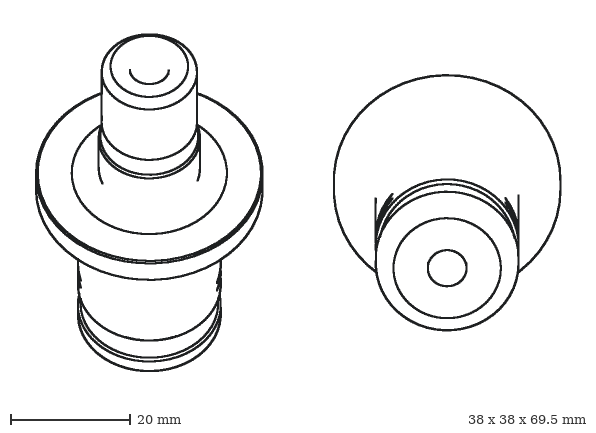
import cadquery as cq
import math

TOTAL_HEIGHT = 69.5

SHANK_RADIUS = 23.96 / 2
TIP_RADIUS = 18 / 2
TIP_ANGLE = math.radians(30)
TIP_CORNER_ROUND = 0.75
COLLAR_TOP = 5.0
COLLAR_CHAMFER = 0.45
NECK_RADIUS = 19.5 / 2
NECK_TOP = 9.6
NECK_ROUND = 0.4
SHANK_LEAD_HEIGHT = 0.6
SHANK_LEAD_ANGLE = math.radians(45)
SHANK_FLANGE_ROUND = 0.9

GROOVE_CENTRES = (13.0, 15.0)
GROOVE_WIDTH = 1.2
GROOVE_FLOOR_WIDTH = 0.2
GROOVE_DEPTH = 0.12

FLANGE_RADIUS = 38 / 2
FLANGE_BOTTOM = 34.5
FLANGE_THICKNESS = 6.0
FLANGE_TOP = FLANGE_BOTTOM + FLANGE_THICKNESS
FLANGE_TOP_CHAMFER = 0.3
FLANGE_FACE_RADIUS = 16.0
FLANGE_CONE_ANGLE = math.radians(15)
FLANGE_CORNER_ROUND = 1.0

RECESS_RIM_RADIUS = 26 / 2
RECESS_FLOOR_RADIUS = 24.3 / 2
RECESS_DEPTH = 0.3
RECESS_FLOOR = FLANGE_TOP - RECESS_DEPTH
RECESS_ROUND = 0.4

SEAT_RADIUS = 17 / 2
SEAT_TOP = 50.5
SEAT_LEAD_HEIGHT = 0.6
SEAT_LEAD_WIDTH = 0.3
UNDERCUT_RADIUS = 16.9 / 2
UNDERCUT_TOP = 41.8
UNDERCUT_ANGLE = math.radians(15)
UNDERCUT_ROUND = 0.4

END_RADIUS = 16 / 2
END_BOTTOM = 54.3
END_CHAMFER = 1.5
RELIEF_RADIUS = 13.7 / 2
RELIEF_MOUTH_RADIUS = 15 / 2
RELIEF_ROUND = 0.8

BORE_RADIUS = 6.5 / 2
BORE_MOUTH_ROUND = 1.0


def groove_corners(centre):
    """Corners of one ring groove, from its lower edge to its upper edge."""
    floor_radius = SHANK_RADIUS - GROOVE_DEPTH
    return [
        (SHANK_RADIUS, centre - GROOVE_WIDTH / 2, 0),
        (floor_radius, centre - GROOVE_FLOOR_WIDTH / 2, 0),
        (floor_radius, centre + GROOVE_FLOOR_WIDTH / 2, 0),
        (SHANK_RADIUS, centre + GROOVE_WIDTH / 2, 0),
    ]


def shank_corners():
    """Tip, collar, neck and grooved shank, up to the flange underside."""
    tip_height = (SHANK_RADIUS - TIP_RADIUS) * math.tan(TIP_ANGLE)
    lead_width = SHANK_LEAD_HEIGHT * math.tan(SHANK_LEAD_ANGLE)
    corners = [
        (TIP_RADIUS, 0, 0),
        (SHANK_RADIUS, tip_height, TIP_CORNER_ROUND),
        (SHANK_RADIUS, COLLAR_TOP - COLLAR_CHAMFER, 0),
        (SHANK_RADIUS - COLLAR_CHAMFER, COLLAR_TOP, 0),
        (NECK_RADIUS, COLLAR_TOP, NECK_ROUND),
        (NECK_RADIUS, NECK_TOP, NECK_ROUND),
        (SHANK_RADIUS - lead_width, NECK_TOP, 0),
        (SHANK_RADIUS, NECK_TOP + SHANK_LEAD_HEIGHT, 0),
    ]
    for centre in GROOVE_CENTRES:
        corners += groove_corners(centre)
    corners.append((SHANK_RADIUS, FLANGE_BOTTOM, SHANK_FLANGE_ROUND))
    return corners


def flange_corners():
    """Flange with a coned underside and a dished recess in its top."""
    cone_height = (FLANGE_RADIUS - FLANGE_FACE_RADIUS) * math.tan(FLANGE_CONE_ANGLE)
    return [
        (FLANGE_FACE_RADIUS, FLANGE_BOTTOM, 0),
        (FLANGE_RADIUS, FLANGE_BOTTOM + cone_height, FLANGE_CORNER_ROUND),
        (FLANGE_RADIUS, FLANGE_TOP - FLANGE_TOP_CHAMFER, 0),
        (FLANGE_RADIUS - FLANGE_TOP_CHAMFER, FLANGE_TOP, 0),
        (RECESS_RIM_RADIUS, FLANGE_TOP, 0),
        (RECESS_FLOOR_RADIUS, RECESS_FLOOR, RECESS_ROUND),
    ]


def seat_corners():
    """Undercut foot, seat cylinder and its lead-in chamfer."""
    runout = (SEAT_RADIUS - UNDERCUT_RADIUS) / math.tan(UNDERCUT_ANGLE)
    return [
        (UNDERCUT_RADIUS, RECESS_FLOOR, UNDERCUT_ROUND),
        (UNDERCUT_RADIUS, UNDERCUT_TOP - runout, 0),
        (SEAT_RADIUS, UNDERCUT_TOP, 0),
        (SEAT_RADIUS, SEAT_TOP - SEAT_LEAD_HEIGHT, 0),
        (SEAT_RADIUS - SEAT_LEAD_WIDTH, SEAT_TOP, 0),
    ]


def end_corners():
    """Relief groove with a 45 degree upper flank, then the chamfered end."""
    flank = RELIEF_MOUTH_RADIUS - RELIEF_RADIUS
    return [
        (RELIEF_RADIUS, SEAT_TOP, RELIEF_ROUND),
        (RELIEF_RADIUS, END_BOTTOM - flank, RELIEF_ROUND),
        (RELIEF_MOUTH_RADIUS, END_BOTTOM, 0),
        (END_RADIUS, END_BOTTOM, 0),
        (END_RADIUS, TOTAL_HEIGHT - END_CHAMFER, 0),
        (END_RADIUS - END_CHAMFER, TOTAL_HEIGHT, 0),
    ]


def bore_corners():
    """Bore wall, from its upper mouth down to the tip."""
    return [
        (BORE_RADIUS, TOTAL_HEIGHT, BORE_MOUTH_ROUND),
        (BORE_RADIUS, 0, 0),
    ]


def add_rounded_corner(path, before, corner, after, radius):
    """Continue the path to a tangent arc that replaces the corner."""
    apex = cq.Vector(corner[0], corner[1])
    inward = (cq.Vector(before[0], before[1]) - apex).normalized()
    outward = (cq.Vector(after[0], after[1]) - apex).normalized()
    half_angle = inward.getAngle(outward) / 2
    setback = radius / math.tan(half_angle)
    apex_to_arc = radius / math.sin(half_angle) - radius
    start = apex + inward * setback
    middle = apex + (inward + outward).normalized() * apex_to_arc
    end = apex + outward * setback
    return path.lineTo(start.x, start.y).threePointArc(middle.toTuple()[:2], end.toTuple()[:2])


def revolve_outline(corners):
    """Revolve a closed outline of (radius, height, corner round) about Z."""
    path = cq.Workplane("XZ").moveTo(*corners[0][:2])
    for index in range(1, len(corners)):
        corner = corners[index]
        if corner[2] == 0:
            path = path.lineTo(*corner[:2])
        else:
            after = corners[(index + 1) % len(corners)]
            path = add_rounded_corner(path, corners[index - 1], corner, after, corner[2])
    return path.close().revolve(360, (0, 0, 0), (0, 1, 0))


result = revolve_outline(
    shank_corners() + flange_corners() + seat_corners() + end_corners() + bore_corners()
)